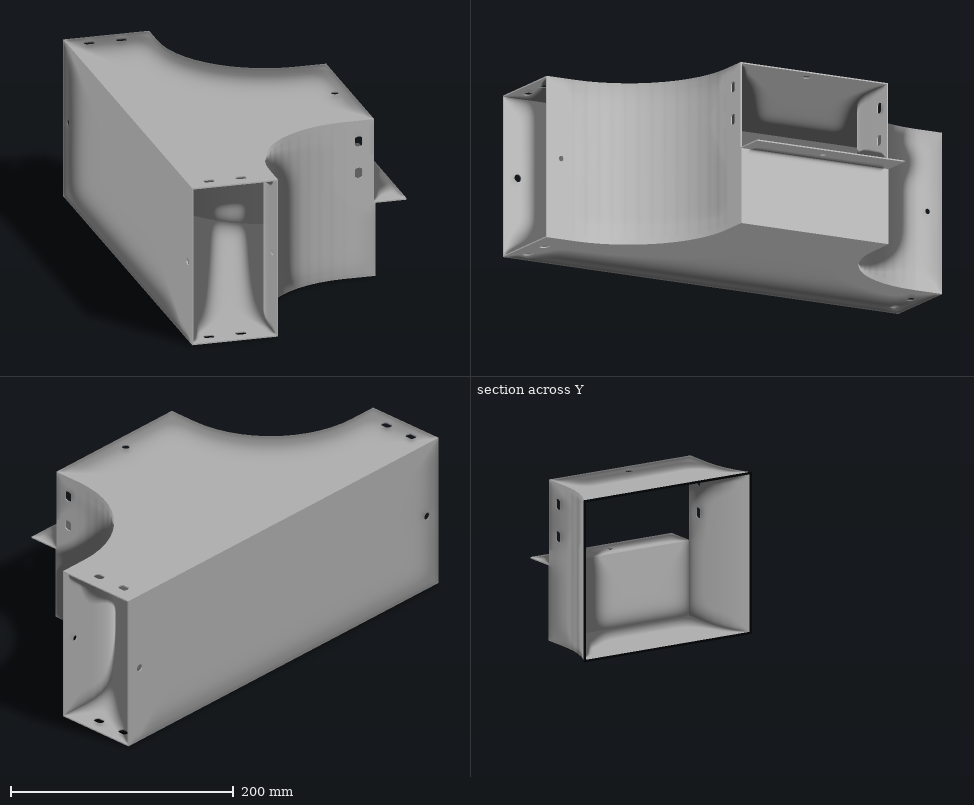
import cadquery as cq
import math


sheet = 1.2
run_length = 408.0
branch_width = 152.0
height = 150.0
overall_depth = 239.0
bend_radius = 100.0
run_depth = 80.5
flange_height = 71.0

half_run = run_length / 2
half_branch = branch_width / 2
straight_end = half_run - half_branch - bend_radius
branch_end = run_depth + bend_radius + straight_end

edge_distance = 15.0
screw_diameter = 7.0
pilot_diameter = 5.0
slot_width = 7.0
slot_length = 10.0
hole_pitch = 30.0
run_slot_start = 20.0
branch_slot_start = 20.0

hole_x = half_run - edge_distance
flange_hole_y = overall_depth - edge_distance
branch_hole_y = flange_hole_y - hole_pitch


def tee_prism(offset, extension, bottom, top):
    """Tee-shaped prism, its walls moved inward by offset and its ends lengthened."""
    end_x = half_run + extension
    end_y = branch_end + extension
    side_x = half_branch - offset
    shoulder_y = run_depth - offset
    radius = bend_radius + offset
    arc_x = half_branch + bend_radius
    arc_y = run_depth + bend_radius
    diagonal = radius * math.sin(math.radians(45))
    outline = (
        cq.Workplane("XY", origin=(0, 0, bottom))
        .moveTo(-end_x, offset)
        .lineTo(end_x, offset)
        .lineTo(end_x, shoulder_y)
        .lineTo(arc_x, shoulder_y)
        .threePointArc((arc_x - diagonal, arc_y - diagonal), (side_x, arc_y))
        .lineTo(side_x, end_y)
        .lineTo(-side_x, end_y)
        .lineTo(-side_x, arc_y)
        .threePointArc((diagonal - arc_x, arc_y - diagonal), (-arc_x, shoulder_y))
        .lineTo(-end_x, shoulder_y)
        .close()
    )
    return outline.extrude(top - bottom)


def make_shell():
    """Hollow tee, open at both run ends and at the branch end."""
    overshoot = 1.0
    outside = tee_prism(0, 0, 0, height)
    inside = tee_prism(sheet, overshoot, sheet, height - sheet)
    return outside.cut(inside)


def make_end_flange():
    """Plate across the lower part of the branch opening, folded outward into a flange."""
    plate = cq.Workplane("XY").box(branch_width, sheet, flange_height, centered=(True, False, False))
    plate = plate.translate((0, branch_end, 0))
    flange = cq.Workplane("XY").box(
        branch_width, overall_depth - branch_end, sheet, centered=(True, False, False)
    )
    flange = flange.translate((0, branch_end, flange_height - sheet))
    return plate.union(flange)


def flat_sided_slots(plane, centres, half_depth):
    """Cutters shaped as a circle with two flats, long in the plane's local Y direction."""
    circles = cq.Workplane(plane).pushPoints(centres).circle(slot_length / 2)
    strips = cq.Workplane(plane).pushPoints(centres).rect(slot_width, slot_length)
    return circles.extrude(half_depth, both=True).intersect(strips.extrude(half_depth, both=True))


def run_slots():
    """Slots through top and bottom near both run ends."""
    first = run_slot_start
    centres = [(x, y) for x in (-hole_x, hole_x) for y in (first, first + hole_pitch)]
    return flat_sided_slots("XY", centres, height)


def branch_slots():
    """Slots through both side walls of the branch."""
    first = height - branch_slot_start
    centres = [(branch_hole_y, z) for z in (first, first - hole_pitch)]
    return flat_sided_slots("YZ", centres, half_branch)


def vertical_hole(diameter, y, top):
    """Drill on the branch centre line, through the sheet whose upper face is at top."""
    return cq.Workplane("XY", origin=(0, y, top)).circle(diameter / 2).extrude(-sheet)


def run_holes(diameter, outer_y):
    """Drills near both run ends, through the wall that ends at outer_y on its +Y side."""
    wall = cq.Workplane("XZ", origin=(0, outer_y, height / 2))
    return wall.pushPoints([(-hole_x, 0), (hole_x, 0)]).circle(diameter / 2).extrude(sheet)


result = (
    make_shell()
    .union(make_end_flange())
    .cut(run_slots())
    .cut(branch_slots())
    .cut(run_holes(screw_diameter, sheet))
    .cut(run_holes(pilot_diameter, run_depth))
    .cut(vertical_hole(screw_diameter, branch_hole_y, height))
    .cut(vertical_hole(pilot_diameter, flange_hole_y, flange_height))
)